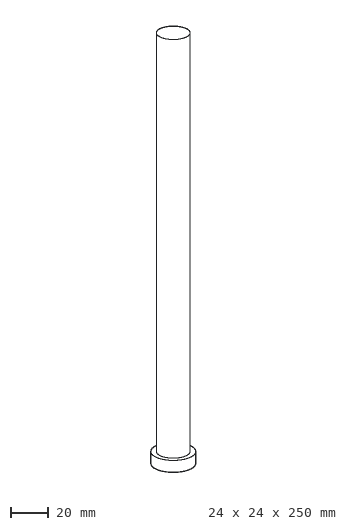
import cadquery as cq

total_length = 250.0
head_diameter = 24.0
head_thickness = 7.0
shaft_diameter = 18.0

head = cq.Workplane("XY").circle(head_diameter / 2).extrude(head_thickness)
shaft = cq.Workplane("XY").circle(shaft_diameter / 2).extrude(total_length)

result = head.union(shaft)